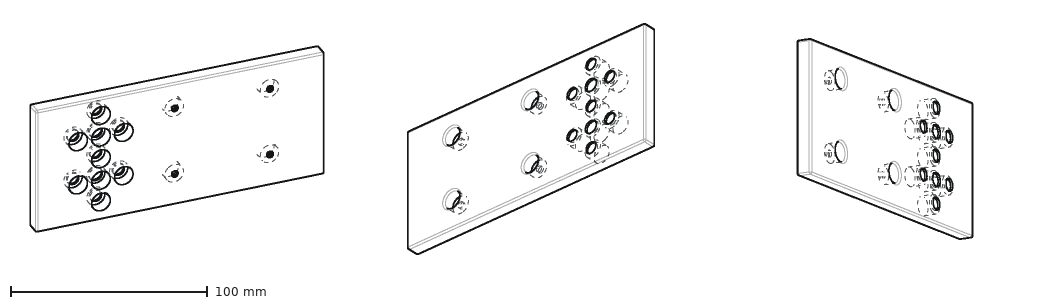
import cadquery as cq

thickness = 8.3
length = 159.1
height = 70.8
edge_radius = 1.0

bore_diameter = 10.2
bore_depth = 7.0
lip_thickness = thickness - bore_depth

screw_diameter = 3.5
screw_spacing_y = 52.5
screw_spacing_z = 38.2
screw_center_y = 23.4
screw_center_z = 1.5

pattern_center_y = -43.6
pattern_pitch = 12.5
outer_hole_diameter = 6.5
cross_center_diameter = 7.3


def rod(diameter, depth, y, z):
    """Cylinder along X that starts at the -X face."""
    start = cq.Vector(-thickness / 2, y, z)
    return cq.Workplane(cq.Solid.makeCylinder(diameter / 2, depth, start, cq.Vector(1, 0, 0)))


def rounded_bore(y, z):
    """Counterbore whose mouth flares out with a convex quarter round."""
    radius = bore_diameter / 2
    face_x = -thickness / 2
    mid_offset = edge_radius * (1 - 0.5 ** 0.5)
    return (
        cq.Workplane("XY", origin=(0, y, z))
        .moveTo(face_x, 0)
        .lineTo(face_x, radius + edge_radius)
        .threePointArc(
            (face_x + mid_offset, radius + mid_offset),
            (face_x + edge_radius, radius),
        )
        .lineTo(face_x + bore_depth, radius)
        .lineTo(face_x + bore_depth, 0)
        .close()
        .revolve(360, (0, 0, 0), (1, 0, 0))
    )


def cut_pattern_hole(plate, diameter, y, z):
    """Through hole with a counterbore sunk from the +X face, leaving a thin lip at -X."""
    back_bore = rod(bore_diameter, thickness, y, z).translate((lip_thickness, 0, 0))
    return plate.cut(rod(diameter, thickness, y, z)).cut(back_bore)


result = cq.Workplane("XY").box(thickness, length, height).edges().fillet(edge_radius)

for side_y in (-1, 1):
    for side_z in (-1, 1):
        hole_y = screw_center_y + side_y * screw_spacing_y / 2
        hole_z = screw_center_z + side_z * screw_spacing_z / 2
        result = result.cut(rod(screw_diameter, thickness, hole_y, hole_z))
        result = result.cut(rounded_bore(hole_y, hole_z))

for step in (-2, 0, 2):
    result = cut_pattern_hole(result, outer_hole_diameter, pattern_center_y, step * pattern_pitch)

for step in (-1, 1):
    row_z = step * pattern_pitch
    result = cut_pattern_hole(result, cross_center_diameter, pattern_center_y, row_z)
    for side in (-1, 1):
        hole_y = pattern_center_y + side * pattern_pitch
        result = cut_pattern_hole(result, outer_hole_diameter, hole_y, row_z)